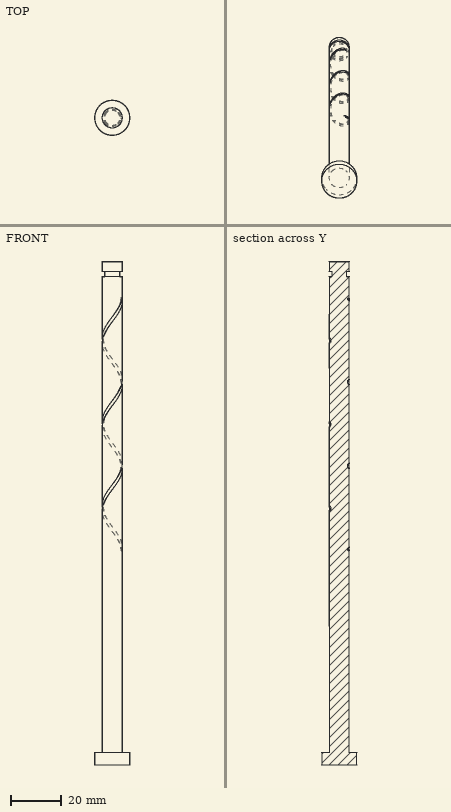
import cadquery as cq
import math

total_length = 200.0
shaft_radius = 4.0
head_radius = 7.0
head_height = 5.0

tip_length = 4.0
neck_radius = 3.0
neck_length = 2.0

oil_groove_radius = 0.5
oil_groove_turns = 3
oil_groove_length = 100.0
oil_groove_start = 85.5
oil_groove_pitch = oil_groove_length / oil_groove_turns


def make_pin():
    """Revolve the half profile of head, shaft, neck and tip about Z."""
    neck_top = total_length - tip_length
    neck_bottom = neck_top - neck_length
    half_profile = (
        cq.Workplane("XZ")
        .lineTo(head_radius, 0)
        .lineTo(head_radius, head_height)
        .lineTo(shaft_radius, head_height)
        .lineTo(shaft_radius, neck_bottom)
        .lineTo(neck_radius, neck_bottom)
        .lineTo(neck_radius, neck_top)
        .lineTo(shaft_radius, neck_top)
        .lineTo(shaft_radius, total_length)
        .lineTo(0, total_length)
        .close()
    )
    return half_profile.revolve(360, (0, 0), (0, 1))


def make_oil_groove():
    """Sweep a circle along a right-handed helix that starts on the +X side."""
    helix = cq.Wire.makeHelix(oil_groove_pitch, oil_groove_length, shaft_radius)
    rise_per_radian = oil_groove_pitch / (2 * math.pi)
    start_plane = cq.Plane(
        origin=(shaft_radius, 0, 0),
        xDir=(1, 0, 0),
        normal=(0, shaft_radius, rise_per_radian),
    )
    groove = cq.Workplane(start_plane).circle(oil_groove_radius).sweep(cq.Workplane(helix), isFrenet=True)
    return groove.translate((0, 0, oil_groove_start))


result = make_pin().cut(make_oil_groove())